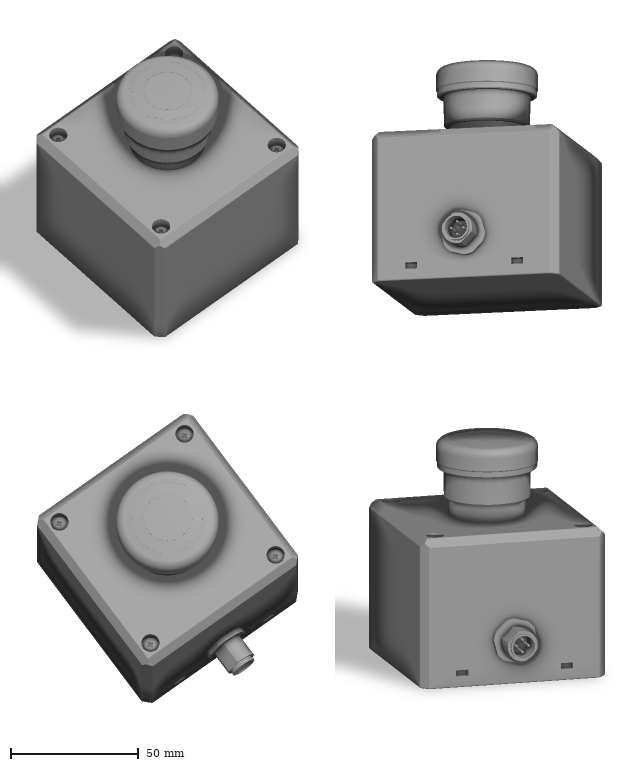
import cadquery as cq
import math


def sphere_radius(rim_radius, rise):
    """Radius of the sphere whose cap has the given rim radius and rise."""
    return (rim_radius**2 + rise**2) / (2 * rise)


box_width = 75.6
box_height = 60.0
edge_chamfer = 3.0
face_edge_radius = 0.55
wall_x = -box_width / 2

screw_spacing = 60.6
screw_hole_radius = 3.6
screw_hole_depth = 4.9
screw_head_radius = 2.8
screw_head_rim = 1.2
screw_head_height = 2.2
cross_length = 2.3
cross_width = 0.8
cross_depth = 1.1

slot_spacing = 42.7
slot_width = 4.9
slot_height = 2.5
slot_depth = 2.7
slot_z = 5.7

total_height = 91.5
neck_radius = 15.0
sleeve_bottom_radius = 16.9
sleeve_top_radius = 17.2
sleeve_bottom_z = 66.5
sleeve_chamfer = 0.8
cap_radius = 20.0
cap_skirt_radius = 19.7
cap_bottom_z = 78.7
cap_skirt_top_z = 81.1
cap_skirt_bevel = 0.4
cap_rim_z = 86.8
dome_radius = 17.5
dome_edge_z = 90.1
dome_sphere_radius = sphere_radius(dome_radius, total_height - dome_edge_z)

mark_depth = 0.1
ring_outer_radius = 9.7
ring_inner_radius = 9.1
arrow_count = 3
arrow_radius = 14.5
arrow_half_width = 0.6
arrow_head_half_width = 1.5
arrow_tail_angle = 135.0
arrow_neck_angle = 64.5
arrow_tip_angle = 45.0

plug_z = 17.7
plug_length = 13.0
nut_thickness = 2.0
nut_across_flats = 17.0
nut_corner_radius = 9.0
nut_turn = -15.0
barrel_length = 11.3
barrel_radius = 6.1
barrel_across_flats = 10.7
flat_turn = 45.0
collar_length = 11.7
groove_length = 12.0
groove_radius = 4.9
tip_radius = 5.1
bore_radius = 4.4
bore_depth = 9.9
web_half_width = 0.6
pocket_depth = 0.9
pin_count = 4
pin_circle_radius = 2.5
pin_radius = 0.5
pin_length = 9.3
pin_chamfer = 0.2


def plug_plane(distance):
    """Plane at a distance out from the -X wall, facing -X, with its own x axis along -Y."""
    return cq.Workplane(cq.Plane((wall_x - distance, 0, plug_z), xDir=(0, -1, 0), normal=(-1, 0, 0)))


def make_box():
    """Box with mitred chamfers on the top and upright edges, then slightly rounded face outlines."""
    block = cq.Workplane("XY").box(box_width, box_width, box_height, centered=(True, True, False))
    top_chamfered = block.faces(">Z").chamfer(edge_chamfer)
    sides_chamfered = block.edges("|Z").chamfer(edge_chamfer)
    body = top_chamfered.intersect(sides_chamfered)
    return body.faces("<X or >X or <Y or >Y or <Z or >Z").edges().fillet(face_edge_radius)


def make_screw_hole():
    """Round hole with a domed cross-head screw left standing in it."""
    floor_z = box_height - screw_hole_depth
    floor_plane = cq.Workplane("XY").workplane(offset=floor_z)
    hole = floor_plane.circle(screw_hole_radius).extrude(screw_hole_depth)
    rim_z = floor_z + screw_head_rim
    head_top_z = floor_z + screw_head_height
    head_sphere_radius = sphere_radius(screw_head_radius, head_top_z - rim_z)
    head = (
        cq.Workplane("XZ")
        .moveTo(0, floor_z)
        .lineTo(screw_head_radius, floor_z)
        .lineTo(screw_head_radius, rim_z)
        .radiusArc((0, head_top_z), -head_sphere_radius)
        .close()
        .revolve(360, (0, 0), (0, 1))
    )
    recess_plane = cq.Workplane("XY").workplane(offset=head_top_z - cross_depth)
    recess = recess_plane.rect(cross_length, cross_width).extrude(cross_depth)
    recess = recess.union(recess_plane.rect(cross_width, cross_length).extrude(cross_depth))
    return hole.cut(head.cut(recess))


def make_button():
    """Neck, tapered sleeve and domed cap, turned about the Z axis."""
    return (
        cq.Workplane("XZ")
        .moveTo(0, box_height)
        .lineTo(neck_radius, box_height)
        .lineTo(neck_radius, sleeve_bottom_z)
        .lineTo(sleeve_bottom_radius - sleeve_chamfer, sleeve_bottom_z)
        .lineTo(sleeve_bottom_radius, sleeve_bottom_z + sleeve_chamfer)
        .lineTo(sleeve_top_radius, cap_bottom_z)
        .lineTo(cap_skirt_radius - cap_skirt_bevel, cap_bottom_z)
        .lineTo(cap_skirt_radius, cap_bottom_z + cap_skirt_bevel)
        .lineTo(cap_skirt_radius, cap_skirt_top_z)
        .lineTo(cap_radius, cap_skirt_top_z + cap_skirt_bevel)
        .lineTo(cap_radius, cap_rim_z)
        .tangentArcPoint((dome_radius, dome_edge_z), relative=False)
        .radiusArc((0, total_height), -dome_sphere_radius)
        .close()
        .revolve(360, (0, 0), (0, 1))
    )


def polar(radius, angle):
    """Point at a radius and an angle in degrees."""
    turn = math.radians(angle)
    return (radius * math.cos(turn), radius * math.sin(turn))


def make_arrow():
    """Upright prism of one curved arrow, running clockwise from its tail to its tip."""
    outer = arrow_radius + arrow_half_width
    inner = arrow_radius - arrow_half_width
    middle_angle = (arrow_tail_angle + arrow_neck_angle) / 2
    return (
        cq.Workplane("XY")
        .moveTo(*polar(inner, arrow_tail_angle))
        .lineTo(*polar(outer, arrow_tail_angle))
        .threePointArc(polar(outer, middle_angle), polar(outer, arrow_neck_angle))
        .lineTo(*polar(arrow_radius + arrow_head_half_width, arrow_neck_angle))
        .lineTo(*polar(arrow_radius, arrow_tip_angle))
        .lineTo(*polar(arrow_radius - arrow_head_half_width, arrow_neck_angle))
        .lineTo(*polar(inner, arrow_neck_angle))
        .threePointArc(polar(inner, middle_angle), polar(inner, arrow_tail_angle))
        .close()
        .extrude(total_height)
    )


def make_marks():
    """Ring and arrows, limited to a thin layer under the dome."""
    inner_sphere = cq.Workplane("XY").sphere(dome_sphere_radius - mark_depth)
    marks = cq.Workplane("XY").circle(ring_outer_radius).circle(ring_inner_radius).extrude(total_height)
    for index in range(arrow_count):
        marks = marks.union(make_arrow().rotate((0, 0, 0), (0, 0, 1), index * 360 / arrow_count))
    return marks.cut(inner_sphere.translate((0, 0, total_height - dome_sphere_radius)))


def make_plug():
    """Lock nut, flatted barrel, collar, groove and hollow tip with contact pins."""
    hexagon = plug_plane(0).polygon(6, nut_across_flats, circumscribed=True).extrude(nut_thickness)
    hexagon = hexagon.rotate((0, 0, plug_z), (1, 0, plug_z), nut_turn)
    nut = plug_plane(0).circle(nut_corner_radius).extrude(nut_thickness).intersect(hexagon)

    turned = plug_plane(0).circle(barrel_radius).extrude(barrel_length)
    turned = turned.union(plug_plane(0).circle(tip_radius).extrude(collar_length))
    turned = turned.union(plug_plane(0).circle(groove_radius).extrude(groove_length))
    turned = turned.union(plug_plane(groove_length).circle(tip_radius).extrude(plug_length - groove_length))
    flats = plug_plane(0).rect(barrel_across_flats, 3 * barrel_radius).extrude(plug_length)
    flats = flats.rotate((0, 0, plug_z), (1, 0, plug_z), flat_turn)
    shell = nut.union(turned.intersect(flats))

    floor = plug_length - bore_depth
    bore = plug_plane(floor).circle(bore_radius).extrude(bore_depth)
    pocket_floor = floor - pocket_depth
    hollow_shell = shell.cut(bore).cut(make_pin_pockets(pocket_floor))
    return hollow_shell.union(make_pins(pocket_floor))


def make_pin_pockets(bottom):
    """One pocket round each pin, leaving a diagonal cross of webs between them."""
    pocket_radius = pin_circle_radius * math.sin(math.pi / pin_count) - web_half_width
    reach = pocket_radius * math.sqrt(0.5)
    start = pin_circle_radius - reach
    wedge = (
        plug_plane(bottom)
        .moveTo(start, reach)
        .threePointArc((pin_circle_radius - pocket_radius, 0), (start, -reach))
        .line(bore_radius, -bore_radius)
        .lineTo(start + bore_radius, reach + bore_radius)
        .close()
        .extrude(pocket_depth)
    )
    pocket = wedge.intersect(plug_plane(bottom).circle(bore_radius).extrude(pocket_depth))
    pockets = pocket
    for index in range(1, pin_count):
        pockets = pockets.union(pocket.rotate((0, 0, plug_z), (1, 0, plug_z), index * 360 / pin_count))
    return pockets


def make_pins(bottom):
    return (
        plug_plane(bottom)
        .polarArray(pin_circle_radius, 0, 360, pin_count)
        .circle(pin_radius)
        .extrude(pin_length)
        .faces("<X")
        .chamfer(pin_chamfer)
    )


def make_slots():
    return (
        cq.Workplane("XY")
        .rarray(0.9, slot_spacing, 1, 2)
        .box(2 * slot_depth, slot_width, slot_height)
        .translate((wall_x, 0, slot_z))
    )


body = make_box()
screw_hole = make_screw_hole()
for x_side in (-1, 1):
    for y_side in (-1, 1):
        corner = (x_side * screw_spacing / 2, y_side * screw_spacing / 2, 0)
        body = body.cut(screw_hole.translate(corner))
body = body.cut(make_slots())
button = make_button().cut(make_marks())
result = body.union(button).union(make_plug())